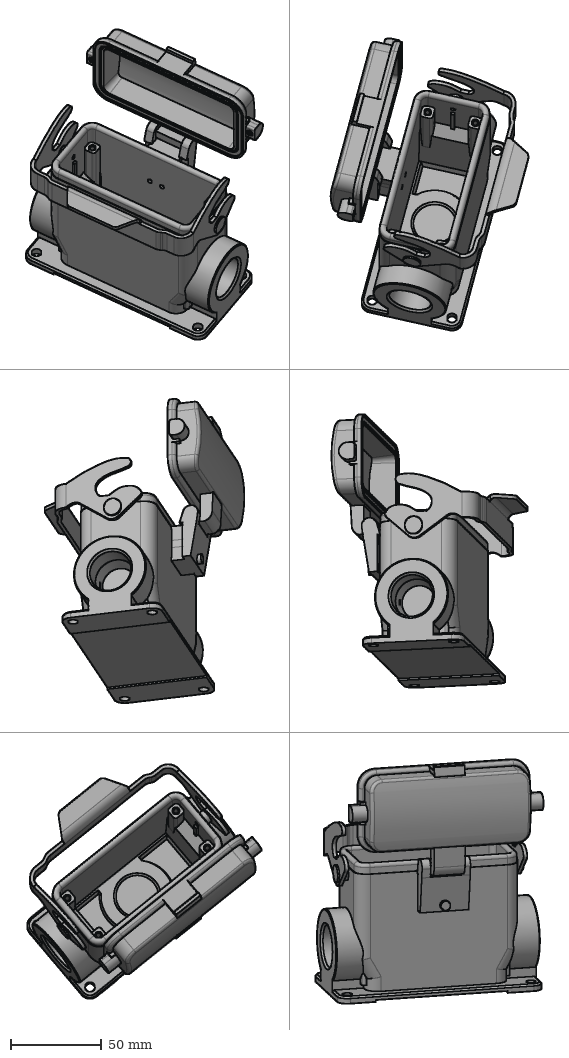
import cadquery as cq

FLANGE_LENGTH = 117.0
FLANGE_WIDTH = 57.2
FLANGE_TOP = 4.1
FLANGE_CORNER = 5.9
FLANGE_BEVEL = 1.1
FOOT_HEIGHT = 1.1
FOOT_GAP = 75.7
MOUNT_HOLE_DIA = 5.5
MOUNT_HOLE_INSET = 5.9

BODY_HALF_LENGTH = 46.8
BODY_HALF_WIDTH = 21.8
BODY_TOP = 77.3
BODY_CORNER = 7.5
TAPER_TOP = 21.8
TAPER_BOTTOM = 10.6
TAPER_INSET = 6.3
WALL = 4.2
FLOOR_TOP = 6.8
SEAL_BOTTOM = 71.5
SEAL_INSET = 0.3

LEDGE_TOP = 44.9
LEDGE_BOTTOM = 40.8
LEDGE_HALF_LENGTH = 35.8
FLOOR_HALF_LENGTH = 34.9
POCKET_BOTTOM = 3.5
POCKET_HALF_WIDTH = 16.3
POCKET_DRAFT = 22.0
POST_CORNER = 1.6
POST_X = 39.0
POST_Y = 13.6
POST_SIZE = 7.1
POST_TOP = 64.4
POST_HOLE_DIA = 2.7
POST_RIM_DIA = 4.0
POST_RIM_DEPTH = 0.7
POST_HOLE_DEPTH = 13.6
PLATEAU_HALF_LENGTH = 15.5
PLATEAU_RADIUS = 21.0
PLATEAU_DRAFT = 15.0
RIVET_HOLE_DIA = 2.6
RIVET_HOLE_X = 4.0
RIVET_HOLE_Z = 53.4
RIB_WIDTH = 2.2
RIB_DEPTH = 1.4
RIB_TOP = 63.0
PIN_END_HOLE_DIA = 2.6

PORT_Z = 26.1
PORT_RADIUS = 20.8
PORT_NECK_WIDTH = 24.6
PORT_EDGE = 0.5
ENTRY_MOUTH_DIA = 26.0
ENTRY_DIA = 23.5
ENTRY_BORE_DIA = 19.0
ENTRY_BEVEL = 1.2
ENTRY_DEPTH = 12.7
ENTRY_END_DEPTH = 19.5
ENTRY_FLOOR_DEPTH = 0.8

LEVER_HALF_SPAN = 52.3
LEVER_THICKNESS = 2.2
LEVER_FRONT_Y = -36.9
LEVER_JOG = 1.9
LEVER_BEND = 7.9
JOG_OUTER_X = 38.7
JOG_INNER_X = 35.3
JOG_BEND = 5.5
BAND_TOP = 85.0
BAND_BOTTOM = 70.5
CHEEK_END_Y = -26.8
PIN_Z = 67.1
PIN_DIA = 8.0
PIN_HEAD_DIA = 10.0
PIN_HEAD_HEIGHT = 1.1

HANDLE_TIP_Y = -50.0
HANDLE_TOP = 89.6
HANDLE_BEND_Y = -40.2
HANDLE_ROOT_HALF = 23.5
HANDLE_TIP_HALF = 15.7
HANDLE_CORNER = 3.4

LID_Z = 110.5
LID_FRONT_Y = 30.5
LID_BACK_Y = 48.5
LIP_HALF_LENGTH = 49.0
LIP_HALF_HEIGHT = 23.5
LIP_BACK_Y = 35.0
LIP_CORNER = 9.8
LIP_ROUND = 2.0
LIP_EDGE = 1.2
LIP_RECESS = 0.5
COVER_HALF_LENGTH = 46.0
COVER_HALF_HEIGHT = 20.8
COVER_CORNER = 7.1
DOME_RISE = 3.0
COVER_ROUND = 1.9
LID_WALL = 2.6
CAVITY_HALF_LENGTH = 42.5
CAVITY_HALF_HEIGHT = 17.8
CAVITY_CORNER = 3.8
CAVITY_DRAFT = 5.0
GROOVE_WIDTH = 1.1
GROOVE_DEPTH = 1.4
GROOVE_HALF_LENGTH = 45.2
GROOVE_HALF_HEIGHT = 19.7
GROOVE_CORNER = 6.0

TAB_HALF_LENGTH = 8.7
TAB_FRONT_Y = 42.3
TAB_BACK_Y = 44.5
TAB_TOP = 136.2
PEG_END_X = 54.7
PEG_Y = 37.2
PEG_RADIUS = 4.8
PEG_FRONT_Y = 33.2
PEG_CORNER = 1.2
PEG_BASE_HEIGHT = 12.7
PEG_HOLE_DIA = 4.0
PEG_CROSS_WIDTH = 0.8
PEG_HOLE_X = 51.5
PEG_HOLE_DEPTH = 2.7

HINGE_HALF_LENGTH = 13.9
HINGE_GAP_HALF = 8.8
LEAF_HALF_LENGTH = 10.1
LEAF_WAIST_HALF = 8.8
LEAF_WAIST_TOP = 63.7
LEAF_WAIST_BOTTOM = 59.4
HINGE_TOP = 71.6
HINGE_BOTTOM = 50.6
HINGE_FRONT_Y = 29.1
ARM_FRONT_Y = 38.0
BRIDGE_FRONT_Y = 31.9
BRIDGE_TOP = 78.4
HINGE_STUD_DIA = 5.5
HINGE_STUD_Z = 54.5
HINGE_STUD_END_Y = 36.6


def block(x0, x1, y0, y1, z0, z1):
    """Box between two opposite corners."""
    return cq.Workplane("XY").box(x1 - x0, y1 - y0, z1 - z0, centered=False).translate((x0, y0, z0))


def upright_plate(half_length, half_width, corner, z0, z1):
    """Rounded rectangle in XY, raised from z0 to z1."""
    plate = cq.Workplane("XY", origin=(0, 0, z0)).rect(2 * half_length, 2 * half_width).extrude(z1 - z0)
    return plate.edges("|Z").fillet(corner)


def lid_plate(half_length, half_height, corner, y0, y1, draft=0):
    """Rounded rectangle in XZ centred on the lid, running from y0 back to y1."""
    outline = cq.Sketch().rect(2 * half_length, 2 * half_height).vertices().fillet(corner)
    front = cq.Workplane("XZ", origin=(0, y0, LID_Z))
    return front.placeSketch(outline).extrude(y0 - y1, taper=draft)


def side_profile(outline, half_length):
    """Extrude an outline drawn in YZ symmetrically about X = 0."""
    return outline.close().extrude(half_length, both=True)


def x_cylinder(dia, x0, x1, y, z):
    return cq.Workplane("YZ", origin=(x0, y, z)).circle(dia / 2).extrude(x1 - x0)


def y_cylinder(dia, x, z, y0, y1):
    return cq.Workplane("XZ", origin=(x, y0, z)).circle(dia / 2).extrude(y0 - y1)


def both_ends(shape):
    """The shape together with its mirror image at the other X end."""
    return shape.union(shape.mirror("YZ"))


def tapered_body(half_length, half_width, corner, z0, z1):
    """Upright block whose X ends step inward along a slope near the bottom."""
    foot = half_length - TAPER_INSET
    outline = [
        (-foot, z0), (foot, z0), (foot, TAPER_BOTTOM), (half_length, TAPER_TOP), (half_length, z1),
        (-half_length, z1), (-half_length, TAPER_TOP), (-foot, TAPER_BOTTOM),
    ]
    body = cq.Workplane("XZ").polyline(outline).close().extrude(half_width, both=True)
    return body.edges("not(|X or |Y)").fillet(corner)


def make_flange():
    flange = upright_plate(FLANGE_LENGTH / 2, FLANGE_WIDTH / 2, FLANGE_CORNER, 0, FLANGE_TOP)
    flange = flange.faces(">Z").edges().chamfer(FLANGE_BEVEL)
    gap = block(-FOOT_GAP / 2, FOOT_GAP / 2, -FLANGE_WIDTH, FLANGE_WIDTH, 0, FOOT_HEIGHT)
    holes = (
        cq.Workplane("XY")
        .rect(FLANGE_LENGTH - 2 * MOUNT_HOLE_INSET, FLANGE_WIDTH - 2 * MOUNT_HOLE_INSET, forConstruction=True)
        .vertices()
        .circle(MOUNT_HOLE_DIA / 2)
        .extrude(FLANGE_TOP)
    )
    return flange.cut(gap).cut(holes)


def make_port():
    """Solid cable port at the -X end, standing on a neck."""
    x_end = -FLANGE_LENGTH / 2
    barrel = x_cylinder(2 * PORT_RADIUS, x_end, -BODY_HALF_LENGTH + TAPER_INSET, 0, PORT_Z)
    barrel = barrel.faces("<X").edges().chamfer(PORT_EDGE)
    neck_half = PORT_NECK_WIDTH / 2
    neck = block(x_end, -BODY_HALF_LENGTH + TAPER_INSET, -neck_half, neck_half, FOOT_HEIGHT, PORT_Z)
    return barrel.union(neck)


def make_port_entry():
    """Blind entry in the -X port: bevelled mouth, straight bore and a narrowing end."""
    x_end = -FLANGE_LENGTH / 2
    outline = [
        (x_end, 0), (x_end, ENTRY_MOUTH_DIA / 2), (x_end + ENTRY_BEVEL, ENTRY_DIA / 2),
        (x_end + ENTRY_DEPTH, ENTRY_DIA / 2), (x_end + ENTRY_END_DEPTH, ENTRY_BORE_DIA / 2),
        (x_end + ENTRY_END_DEPTH, 0),
    ]
    bore = cq.Workplane("XY").polyline(outline).close().revolve(360, (0, 0, 0), (1, 0, 0))
    return bore.translate((0, 0, PORT_Z))


def make_cavity():
    """Inside of the housing, with sloped ledges above the port entries and a drafted pocket in the floor."""
    upper = BODY_HALF_LENGTH - WALL
    half_width = BODY_HALF_WIDTH - WALL
    right_side = [
        (FLOOR_HALF_LENGTH, FLOOR_TOP), (LEDGE_HALF_LENGTH, LEDGE_BOTTOM), (upper, LEDGE_TOP), (upper, BODY_TOP)
    ]
    left_side = [(-x, z) for x, z in right_side[::-1]]
    cavity = cq.Workplane("XZ").polyline(right_side + left_side).close().extrude(half_width, both=True)
    cavity = cavity.intersect(upright_plate(upper, half_width, BODY_CORNER - WALL, 0, BODY_TOP))
    pocket = cq.Workplane("XY", origin=(0, 0, FLOOR_TOP)).rect(2 * FLOOR_HALF_LENGTH, 2 * POCKET_HALF_WIDTH)
    return cavity.union(pocket.extrude(POCKET_BOTTOM - FLOOR_TOP, taper=POCKET_DRAFT))


def make_seal():
    """Round-topped rim around the mouth of the housing."""
    radius = (WALL - SEAL_INSET) / 2
    centre_inset = SEAL_INSET + radius
    crown_z = BODY_TOP - radius
    outer = upright_plate(
        BODY_HALF_LENGTH - SEAL_INSET, BODY_HALF_WIDTH - SEAL_INSET, BODY_CORNER - SEAL_INSET, SEAL_BOTTOM, crown_z
    )
    inner = upright_plate(
        BODY_HALF_LENGTH - WALL, BODY_HALF_WIDTH - WALL, BODY_CORNER - WALL, SEAL_BOTTOM, crown_z
    )
    path_x = BODY_HALF_LENGTH - centre_inset
    path_y = BODY_HALF_WIDTH - centre_inset
    path = cq.Workplane("XY", origin=(0, 0, crown_z)).placeSketch(
        cq.Sketch().rect(2 * path_x, 2 * path_y).vertices().fillet(BODY_CORNER - centre_inset)
    )
    path = cq.Workplane(path.extrude(1.4).faces("<Z").wires().val())
    crown = cq.Workplane("YZ", origin=(0, -path_y, crown_z)).circle(radius).sweep(path)
    return outer.cut(inner).union(crown)


def make_floor_plateau():
    """Middle of the floor between the pockets, with bulged ends and a tapered round recess."""
    height = FLOOR_TOP - POCKET_BOTTOM
    half_width = BODY_HALF_WIDTH - WALL
    bulge = cq.Workplane("XY").circle(PLATEAU_RADIUS).extrude(height, taper=PLATEAU_DRAFT)
    strip = cq.Workplane("XY").rect(2 * PLATEAU_HALF_LENGTH, 4 * half_width).extrude(height, taper=PLATEAU_DRAFT)
    footprint = block(-PLATEAU_RADIUS, PLATEAU_RADIUS, -half_width, half_width, 0, height)
    plateau = bulge.union(strip).intersect(footprint)
    recess = cq.Workplane("XY", origin=(0, 0, height)).circle(ENTRY_MOUTH_DIA / 2)
    recess = recess.workplane(offset=-ENTRY_FLOOR_DEPTH).circle(ENTRY_DIA / 2).loft()
    return plateau.cut(recess).translate((0, 0, POCKET_BOTTOM))


def make_posts():
    """Four screw posts in the inner corners."""
    centres = [(x, y) for x in (-POST_X, POST_X) for y in (-POST_Y, POST_Y)]
    posts = cq.Workplane("XY", origin=(0, 0, FLOOR_TOP)).pushPoints(centres)
    posts = posts.rect(POST_SIZE, POST_SIZE).extrude(POST_TOP - FLOOR_TOP).edges("|Z").fillet(POST_CORNER)
    top = cq.Workplane("XY", origin=(0, 0, POST_TOP)).pushPoints(centres)
    rims = top.circle(POST_RIM_DIA / 2).extrude(-POST_RIM_DEPTH)
    return posts.cut(rims).cut(top.circle(POST_HOLE_DIA / 2).extrude(-POST_HOLE_DEPTH))


def make_end_rib():
    inner_x = BODY_HALF_LENGTH - WALL
    return block(inner_x - RIB_DEPTH, inner_x + WALL / 2, -RIB_WIDTH / 2, RIB_WIDTH / 2, LEDGE_BOTTOM, RIB_TOP)


def make_housing():
    body = tapered_body(BODY_HALF_LENGTH, BODY_HALF_WIDTH, BODY_CORNER, FOOT_HEIGHT, SEAL_BOTTOM)
    housing = make_flange().union(body).union(both_ends(make_port()))
    housing = housing.cut(both_ends(make_port_entry())).cut(make_cavity()).union(make_seal())
    housing = housing.union(make_floor_plateau()).union(make_posts()).union(both_ends(make_end_rib()))
    for x in (-RIVET_HOLE_X, RIVET_HOLE_X):
        housing = housing.cut(y_cylinder(RIVET_HOLE_DIA, x, RIVET_HOLE_Z, 0, BODY_HALF_WIDTH))
    inner_x = BODY_HALF_LENGTH - WALL
    return housing.cut(both_ends(x_cylinder(PIN_END_HOLE_DIA, 0, inner_x + WALL / 2, 0, PIN_Z)))


def make_lever_cheek():
    """Hooked side plate of the lever at the -X end, up to the start of its bend."""
    outline = (
        cq.Workplane("YZ", origin=(-LEVER_HALF_SPAN, 0, 0))
        .moveTo(CHEEK_END_Y, BAND_TOP)
        .spline([(-17.7, 90.1), (-8.8, 94.0), (2.0, 96.7), (7.5, 96.4)], includeCurrent=True)
        .threePointArc((10.3, 93.7), (7.9, 91.0))
        .spline([(2.7, 89.3), (-6.7, 85.6), (-10.1, 81.3), (-9.4, 77.3), (-7.0, 74.9)], includeCurrent=True)
        .lineTo(-2.3, 74.9)
        .spline([(0.5, 76.8), (4.2, 78.7), (8.6, 79.2), (13.0, 78.3), (16.3, 74.3), (14.7, 71.8)], includeCurrent=True)
        .lineTo(3.3, 61.5)
        .threePointArc((0, 60.2), (-3.3, 61.0))
        .lineTo(-18.8, 71.9)
        .spline([(-22.0, 72.8), (-24.9, 71.9), (CHEEK_END_Y, BAND_BOTTOM)], includeCurrent=True)
    )
    return outline.close().extrude(LEVER_THICKNESS)


def band_outline(inset):
    """Corner points of the -X half of the lever band, from its end to the middle, set in from its outside."""
    side = -LEVER_HALF_SPAN + inset
    jog_y = LEVER_FRONT_Y + LEVER_JOG + inset
    front = LEVER_FRONT_Y + inset
    return [(side, CHEEK_END_Y), (side, jog_y), (-JOG_OUTER_X, jog_y), (-JOG_INNER_X, front), (0, front)]


def make_lever_band():
    """Strip that joins the cheeks around the front, stepping forward in the middle."""
    outer = band_outline(0)
    inner = band_outline(LEVER_THICKNESS)
    half = cq.Workplane("XY", origin=(0, 0, BAND_BOTTOM)).polyline(outer + inner[::-1]).close()
    half = half.extrude(BAND_TOP - BAND_BOTTOM)
    mid_z = (BAND_TOP + BAND_BOTTOM) / 2
    side_x, jog_y = outer[1]
    half = half.edges(cq.selectors.NearestToPointSelector((side_x, jog_y, mid_z))).fillet(LEVER_BEND)
    inner_x, inner_y = inner[1]
    half = half.edges(cq.selectors.NearestToPointSelector((inner_x, inner_y, mid_z)))
    half = half.fillet(LEVER_BEND - LEVER_THICKNESS)
    for x, y in outer[2:4] + inner[2:4]:
        half = half.edges(cq.selectors.NearestToPointSelector((x, y, mid_z))).fillet(JOG_BEND)
    return both_ends(half)


def make_handle():
    """Thumb plate that rises from the band, bends forward and narrows to its tip."""
    back = LEVER_FRONT_Y + LEVER_THICKNESS
    bend = LEVER_FRONT_Y - HANDLE_BEND_Y
    under = HANDLE_TOP - LEVER_THICKNESS
    plate = (
        cq.Workplane("YZ")
        .moveTo(back, BAND_TOP)
        .radiusArc((HANDLE_BEND_Y, HANDLE_TOP), -(back - HANDLE_BEND_Y))
        .lineTo(HANDLE_TIP_Y, HANDLE_TOP)
        .lineTo(HANDLE_TIP_Y, under)
        .lineTo(HANDLE_BEND_Y, under)
        .radiusArc((LEVER_FRONT_Y, BAND_TOP), bend)
    )
    plate = side_profile(plate, HANDLE_ROOT_HALF)
    trim = [
        (-HANDLE_ROOT_HALF, back), (HANDLE_ROOT_HALF, back), (HANDLE_ROOT_HALF, LEVER_FRONT_Y),
        (HANDLE_TIP_HALF, HANDLE_TIP_Y), (-HANDLE_TIP_HALF, HANDLE_TIP_Y), (-HANDLE_ROOT_HALF, LEVER_FRONT_Y),
    ]
    trim = cq.Workplane("XY", origin=(0, 0, BAND_BOTTOM)).polyline(trim).close().extrude(HANDLE_TOP)
    trim = trim.edges("|Z and <Y").fillet(HANDLE_CORNER)
    return plate.intersect(trim)


def make_lever_pin():
    """Headed pivot pin between the housing wall and the -X cheek."""
    shank = x_cylinder(PIN_DIA, -LEVER_HALF_SPAN, -BODY_HALF_LENGTH + WALL / 2, 0, PIN_Z)
    head = x_cylinder(PIN_HEAD_DIA, -LEVER_HALF_SPAN - PIN_HEAD_HEIGHT, -LEVER_HALF_SPAN, 0, PIN_Z)
    return shank.union(head)


def make_lever():
    return make_lever_band().union(both_ends(make_lever_cheek().union(make_lever_pin()))).union(make_handle())


def make_lid_cover():
    """Domed shell behind the lip, before hollowing."""
    cover = lid_plate(COVER_HALF_LENGTH, COVER_HALF_HEIGHT, COVER_CORNER, LID_FRONT_Y, LID_BACK_Y)
    return cover.intersect(dome(LID_BACK_Y, COVER_HALF_LENGTH)).faces(">Y").edges().fillet(COVER_ROUND)


def dome(crown_y, half_length):
    """Block in front of a cylindrical back face that is furthest back at the lid's mid-height."""
    edge_y = crown_y - DOME_RISE
    z0 = LID_Z - COVER_HALF_HEIGHT
    z1 = LID_Z + COVER_HALF_HEIGHT
    outline = cq.Workplane("YZ").moveTo(LID_FRONT_Y, z0).lineTo(edge_y, z0)
    outline = outline.threePointArc((crown_y, LID_Z), (edge_y, z1)).lineTo(LID_FRONT_Y, z1)
    return side_profile(outline, half_length)


def make_lid_cavity():
    cavity = lid_plate(
        CAVITY_HALF_LENGTH, CAVITY_HALF_HEIGHT, CAVITY_CORNER, LID_FRONT_Y, LID_BACK_Y, CAVITY_DRAFT
    )
    return cavity.intersect(dome(LID_BACK_Y - LID_WALL, CAVITY_HALF_LENGTH))


def make_lid_groove():
    """Seal groove around the mouth of the lid."""
    groove_bottom = LID_FRONT_Y + LIP_RECESS + GROOVE_DEPTH
    outer = lid_plate(GROOVE_HALF_LENGTH, GROOVE_HALF_HEIGHT, GROOVE_CORNER, LID_FRONT_Y, groove_bottom)
    inner = lid_plate(
        GROOVE_HALF_LENGTH - GROOVE_WIDTH, GROOVE_HALF_HEIGHT - GROOVE_WIDTH, GROOVE_CORNER - GROOVE_WIDTH,
        LID_FRONT_Y, groove_bottom,
    )
    return outer.cut(inner)


def make_lid_tab():
    """Band across the top of the lid, ending in a short upright tab."""
    lip_top = LID_Z + LIP_HALF_HEIGHT
    cover_top = LID_Z + COVER_HALF_HEIGHT
    root = cover_top - LID_WALL
    edge_y = LID_BACK_Y - DOME_RISE
    outline = cq.Workplane("YZ").polyline([
        (LIP_BACK_Y - LIP_ROUND, root), (LIP_BACK_Y - LIP_ROUND, lip_top), (TAB_FRONT_Y, lip_top),
        (TAB_FRONT_Y, TAB_TOP), (TAB_BACK_Y, TAB_TOP), (edge_y, cover_top), (edge_y, root),
    ])
    return side_profile(outline, TAB_HALF_LENGTH)


def make_lid_peg():
    """D-shaped locking peg with a crossed hole and its base on the lip, at the -X end."""
    def d_bar(radius, x0, x1):
        bar = x_cylinder(2 * radius, x0, x1, PEG_Y, LID_Z)
        corner = block(x0, x1, PEG_FRONT_Y, PEG_Y, LID_Z - radius, LID_Z + radius)
        return bar.intersect(block(x0, x1, PEG_FRONT_Y, PEG_Y + radius, 0, TAB_TOP)).union(
            corner.edges("|X and <Y").fillet(PEG_CORNER)
        )

    peg = d_bar(PEG_RADIUS, -PEG_END_X, -COVER_HALF_LENGTH + LID_WALL / 2)
    base_half = PEG_BASE_HEIGHT / 2
    base = block(
        -LIP_HALF_LENGTH, -COVER_HALF_LENGTH + LID_WALL / 2, LIP_BACK_Y - LIP_ROUND, PEG_Y,
        LID_Z - base_half, LID_Z + base_half,
    )
    hole = y_cylinder(PEG_HOLE_DIA, -PEG_HOLE_X, LID_Z, PEG_FRONT_Y, PEG_FRONT_Y + PEG_HOLE_DEPTH)
    arm = PEG_CROSS_WIDTH / 2
    bar = block(-PEG_HOLE_DIA, PEG_HOLE_DIA, PEG_FRONT_Y, PEG_Y, -arm, arm)
    cross = bar.union(bar.rotate((0, 0, 0), (0, 1, 0), 90)).translate((-PEG_HOLE_X, 0, LID_Z))
    return peg.union(base).cut(hole.cut(cross))


def make_lid_arm():
    """Arm that hangs from the lid and ends between the hinge cheeks."""
    root = LID_Z - COVER_HALF_HEIGHT + LID_WALL / 2
    outline = (
        cq.Workplane("YZ")
        .moveTo(ARM_FRONT_Y, root)
        .lineTo(45.5, root)
        .lineTo(44.8, 79.0)
        .threePointArc((43.7, 75.2), (40.6, 73.1))
        .lineTo(BRIDGE_FRONT_Y, 73.1)
        .lineTo(BRIDGE_FRONT_Y, BRIDGE_TOP)
        .lineTo(ARM_FRONT_Y, BRIDGE_TOP)
    )
    return side_profile(outline, HINGE_GAP_HALF)


def make_lid():
    lip = lid_plate(LIP_HALF_LENGTH, LIP_HALF_HEIGHT, LIP_CORNER, LID_FRONT_Y, LIP_BACK_Y)
    lip = lip.faces(">Y").edges().fillet(LIP_ROUND)
    recess = lid_plate(
        LIP_HALF_LENGTH - LIP_EDGE, LIP_HALF_HEIGHT - LIP_EDGE, LIP_CORNER - LIP_EDGE,
        LID_FRONT_Y, LID_FRONT_Y + LIP_RECESS,
    )
    lid = lip.union(make_lid_cover()).union(make_lid_tab()).union(both_ends(make_lid_peg()))
    return lid.cut(recess).cut(make_lid_cavity()).cut(make_lid_groove()).union(make_lid_arm())


def make_hinge():
    """Bracket on the back wall with two round-topped cheeks, a waisted leaf and a rivet stud."""
    cheek = (
        cq.Workplane("YZ")
        .moveTo(HINGE_FRONT_Y, HINGE_BOTTOM)
        .lineTo(33.9, HINGE_BOTTOM)
        .lineTo(37.3, HINGE_TOP)
        .lineTo(ARM_FRONT_Y, 76.8)
        .threePointArc((34.0, 81.3), (29.7, 78.7))
        .lineTo(27.5, HINGE_TOP)
        .lineTo(HINGE_FRONT_Y, HINGE_TOP)
    )
    cheeks = side_profile(cheek, HINGE_HALF_LENGTH)
    gap = block(-HINGE_GAP_HALF, HINGE_GAP_HALF, 0, LID_BACK_Y, HINGE_TOP, TAB_TOP)
    leaf_side = [
        (LEAF_HALF_LENGTH, HINGE_BOTTOM), (LEAF_WAIST_HALF, LEAF_WAIST_BOTTOM),
        (LEAF_WAIST_HALF, LEAF_WAIST_TOP), (LEAF_HALF_LENGTH, HINGE_TOP),
    ]
    leaf_outline = leaf_side + [(-x, z) for x, z in leaf_side[::-1]]
    leaf = cq.Workplane("XZ", origin=(0, HINGE_FRONT_Y, 0)).polyline(leaf_outline).close()
    leaf = leaf.extrude(HINGE_FRONT_Y - BODY_HALF_WIDTH + WALL / 2)
    stud = y_cylinder(HINGE_STUD_DIA, 0, HINGE_STUD_Z, HINGE_FRONT_Y, HINGE_STUD_END_Y)
    return cheeks.cut(gap).union(leaf).union(stud)


result = make_housing().union(make_lever()).union(make_hinge()).union(make_lid())